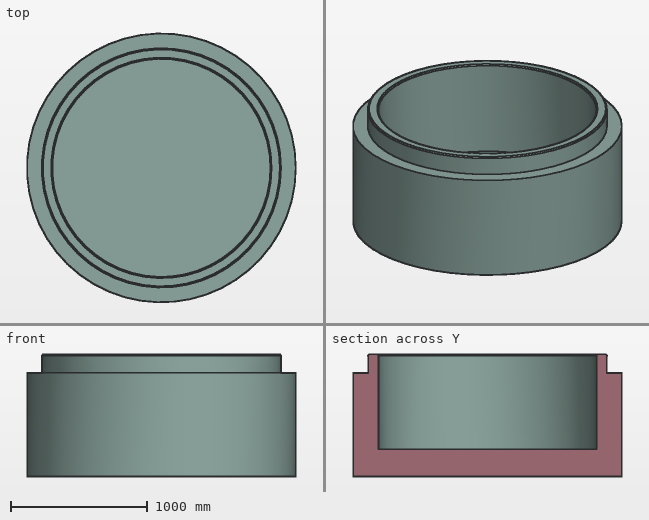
import cadquery as cq

body_diameter = 1966.0
total_height = 895.0
floor_thickness = 200.0

neck_diameter = 1750.0
neck_height = 138.0
shoulder_height = total_height - neck_height

bore_diameter = 1592.0
rim_chamfer = 10.0

body = cq.Workplane("XY").circle(body_diameter / 2).extrude(shoulder_height)

neck = (
    cq.Workplane("XY")
    .workplane(offset=shoulder_height)
    .circle(neck_diameter / 2)
    .extrude(neck_height)
)

bore = (
    cq.Workplane("XY")
    .workplane(offset=floor_thickness)
    .circle(bore_diameter / 2)
    .extrude(total_height - floor_thickness)
)

result = body.union(neck).cut(bore).faces(">Z").edges().chamfer(rim_chamfer)